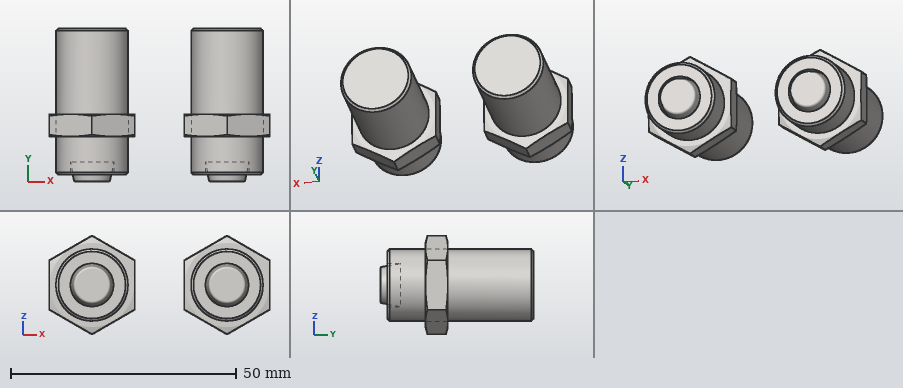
import cadquery as cq
import math

overall_width = 49.0
overall_length = 34.0

barrel_diameter = 16.0
barrel_face_diameter = 14.9
barrel_chamfer = (barrel_diameter - barrel_face_diameter) / 2
hole_diameter = 9.6

nut_across_flats = 19.0
nut_across_corners = nut_across_flats / math.cos(math.radians(30))
nut_thickness = 5.0
nut_front_offset = 8.55
nut_face_diameter = 18.7
nut_chamfer_angle = 15.0

pin_protrusion = 1.45
pin_tip_diameter = 8.05
pin_taper_angle = 10.0
pin_tip_round = 0.5
pin_length = (hole_diameter - pin_tip_diameter) / 2 / math.tan(math.radians(pin_taper_angle))

barrel_length = overall_length - pin_protrusion
hole_depth = pin_length - pin_protrusion
unit_spacing = overall_width - nut_across_flats
unit_positions = [-unit_spacing / 2, unit_spacing / 2]


def plane_along_y(x, y):
    """Sketch plane whose normal points to +Y."""
    return cq.Workplane(cq.Plane(origin=(x, y, 0), xDir=(1, 0, 0), normal=(0, 1, 0)))


def make_barrel(x):
    """Cylinder chamfered at both ends, with a blind hole in the front."""
    body = plane_along_y(x, 0).circle(barrel_diameter / 2).extrude(barrel_length)
    body = body.faces("<Y or >Y").chamfer(barrel_chamfer)
    hole = plane_along_y(x, 0).circle(hole_diameter / 2).extrude(hole_depth)
    return body.cut(hole)


def make_nut(x):
    """Hexagon with conically trimmed corners, bored to fit the barrel."""
    corner_radius = nut_across_corners / 2
    face_radius = nut_face_diameter / 2
    trim_depth = (corner_radius - face_radius) * math.tan(math.radians(nut_chamfer_angle))

    hexagon = (
        plane_along_y(x, nut_front_offset)
        .transformed(rotate=(0, 0, 90))
        .polygon(6, nut_across_corners)
        .extrude(nut_thickness)
    )
    envelope = (
        cq.Workplane("XY", origin=(x, nut_front_offset, 0))
        .lineTo(face_radius, 0)
        .lineTo(corner_radius, trim_depth)
        .lineTo(corner_radius, nut_thickness - trim_depth)
        .lineTo(face_radius, nut_thickness)
        .lineTo(0, nut_thickness)
        .close()
        .revolve(360, (0, 0, 0), (0, 1, 0))
    )
    bore = plane_along_y(x, nut_front_offset).circle(barrel_diameter / 2).extrude(nut_thickness)
    return hexagon.intersect(envelope).cut(bore)


def make_pin(x):
    """Cone seated on the hole floor, with a rounded tip."""
    pin = (
        cq.Workplane("XY", origin=(x, -pin_protrusion, 0))
        .lineTo(pin_tip_diameter / 2, 0)
        .lineTo(hole_diameter / 2, pin_length)
        .lineTo(0, pin_length)
        .close()
        .revolve(360, (0, 0, 0), (0, 1, 0))
    )
    return pin.faces("<Y").edges().fillet(pin_tip_round)


barrels = [make_barrel(x) for x in unit_positions]
nuts = [make_nut(x) for x in unit_positions]
pins = [make_pin(x) for x in unit_positions]

result = cq.Compound.makeCompound([body.solids().val() for body in barrels + nuts + pins])